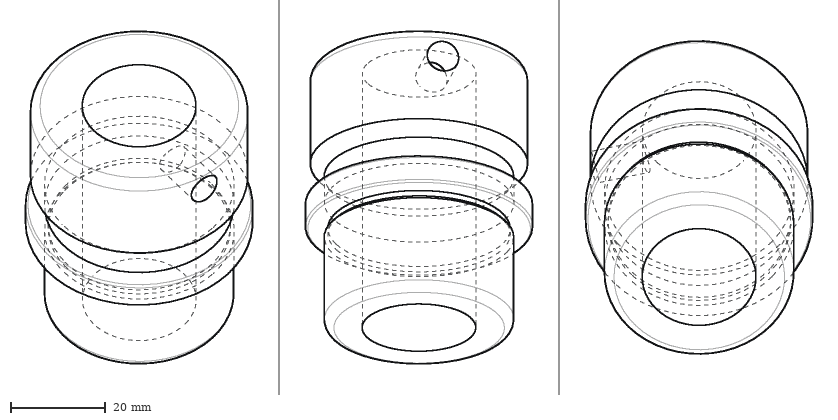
import cadquery as cq

total_height = 59.0
head_radius = 22.95
shank_radius = 20.0
flange_diameter = 47.95
bore_diameter = 24.0
head_bottom = 38.0
flange_bottom = 23.0
flange_thickness = 6.0
flange_edge_radius = 0.5
end_radius = 2.0
relief_depth = 0.75
relief_bottom = 21.0
cross_hole_diameter = 6.8
cross_hole_drop = 6.25

flange_radius = flange_diameter / 2
flange_top = flange_bottom + flange_thickness
neck_top = head_bottom - (head_radius - shank_radius)
relief_radius = shank_radius - relief_depth


def cylinder(radius, bottom, top):
    return cq.Workplane("XY").workplane(offset=bottom).circle(radius).extrude(top - bottom)


def make_core():
    """Turned body with shank, undercut, neck and head, without the flange."""
    profile = [
        (0, 0),
        (shank_radius, 0),
        (shank_radius, relief_bottom),
        (relief_radius, relief_bottom + relief_depth),
        (relief_radius, flange_bottom),
        (shank_radius, flange_bottom),
        (shank_radius, neck_top),
        (head_radius, head_bottom),
        (head_radius, total_height),
        (0, total_height),
    ]
    core = cq.Workplane("XZ").polyline(profile).close().revolve(360, (0, 0), (0, 1))
    return core.faces("<Z or >Z").edges().fillet(end_radius)


def make_flange():
    flange = cylinder(flange_radius, flange_bottom, flange_top)
    return flange.faces("<Z or >Z").edges().fillet(flange_edge_radius)


def make_cross_hole():
    """Radial hole through the +X wall of the head into the bore."""
    return (
        cq.Workplane("YZ")
        .center(0, total_height - cross_hole_drop)
        .circle(cross_hole_diameter / 2)
        .extrude(flange_radius)
    )


bore = cylinder(bore_diameter / 2, 0, total_height)
result = make_core().union(make_flange()).cut(bore).cut(make_cross_hole())